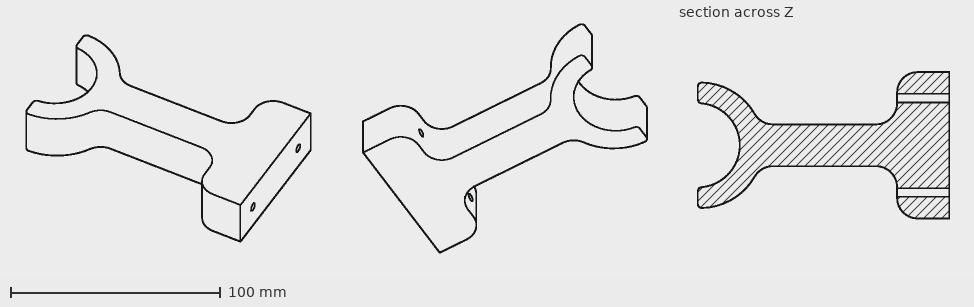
import cadquery as cq
import math

length = 120.0
base_width = 70.0
thickness = 25.0
base_depth = thickness
stem_width = 20.0

cradle_outer_radius = 30.0
cradle_inner_radius = 20.0
cradle_outer_center_x = 1.2
cradle_inner_center_x = 0.0
tip_radius = 2.0

blend_radius = 10.0

hole_diameter = 4.0
hole_spacing = 45.0

base_face_x = length - base_depth
stem_half_width = stem_width / 2
base_half_width = base_width / 2


def block(x_start, x_end, width):
    """Full-thickness box centred on the X axis in Y."""
    return (
        cq.Workplane("XY")
        .box(x_end - x_start, width, thickness, centered=(False, True, False))
        .translate((x_start, 0, 0))
    )


def cylinder(center_x, radius):
    """Full-thickness upright cylinder on the X axis."""
    return cq.Workplane("XY").center(center_x, 0).circle(radius).extrude(thickness)


def round_edges(body, radius, points):
    """Fillet the upright edges nearest to the given (x, y) points."""
    edges = []
    for x, y in points:
        nearest = cq.selectors.NearestToPointSelector((x, y, thickness / 2))
        edges.append(body.edges("|Z").edges(nearest).val())
    return cq.Workplane("XY").add(body.val().fillet(radius, edges))


def circle_leg(radius, distance):
    """Distance along one axis from a circle's centre, given the distance along the other."""
    return math.sqrt(radius**2 - distance**2)


def both_sides(points):
    """The points and their mirror images across the X axis."""
    return [(x, side * y) for x, y in points for side in (1, -1)]


cradle = cylinder(cradle_outer_center_x, cradle_outer_radius)
cradle = cradle.intersect(block(0, length, base_width))
stem = block(cradle_outer_center_x, base_face_x, stem_width)
base = block(base_face_x, length, base_width)
body = cradle.union(stem).union(base)
body = body.cut(cylinder(cradle_inner_center_x, cradle_inner_radius))

blend_points = [
    (cradle_outer_center_x + circle_leg(cradle_outer_radius, stem_half_width), stem_half_width),
    (base_face_x, stem_half_width),
    (base_face_x, base_half_width),
]
body = round_edges(body, blend_radius, both_sides(blend_points))

tip_points = [
    (0, circle_leg(cradle_outer_radius, cradle_outer_center_x)),
    (0, circle_leg(cradle_inner_radius, cradle_inner_center_x)),
]
body = round_edges(body, tip_radius, both_sides(tip_points))

holes = (
    cq.Workplane("YZ", origin=(base_face_x, 0, thickness / 2))
    .pushPoints([(-hole_spacing / 2, 0), (hole_spacing / 2, 0)])
    .circle(hole_diameter / 2)
    .extrude(base_depth)
)

result = body.cut(holes)